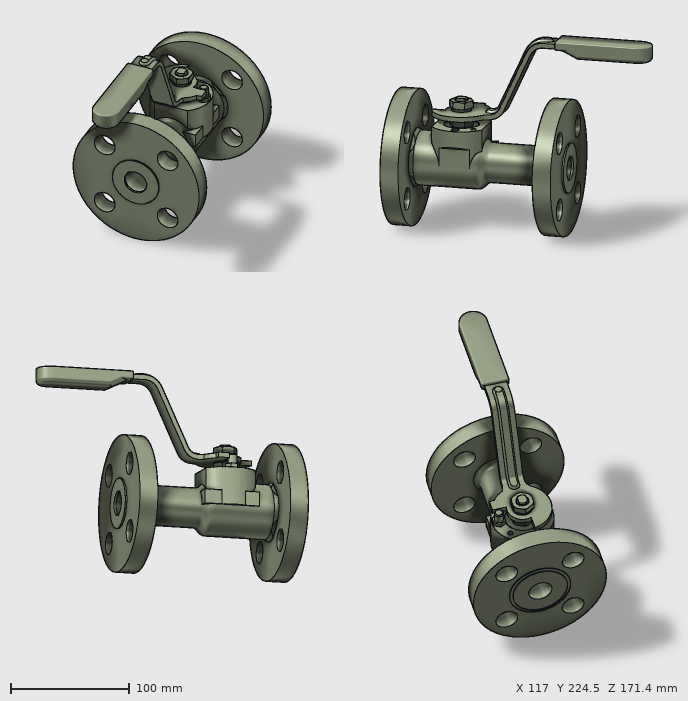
import cadquery as cq
import math


FLANGE_DIA = 117.0
FLANGE_THICK = 16.0
BOLT_HOLE_DIA = 19.0
BOLT_OFFSET = 29.2
REAR_FLANGE_FRONT = 39.7
REAR_FLANGE_BACK = REAR_FLANGE_FRONT + FLANGE_THICK
FRONT_FLANGE_BACK = -78.0
FRONT_FLANGE_FRONT = FRONT_FLANGE_BACK - FLANGE_THICK

BORE_DIA = 20.2
MOUTH_DIA = 20.6
MOUTH_DEPTH = 1.8
SPIGOT_PROJECTION = 1.3
BODY_DIA = 46.7
PIPE_DIA = 34.0
FRONT_SPIGOT_DIA = 42.9
REAR_SPIGOT_DIA = 47.8
REAR_RING_DIA = 53.6
REAR_RING_HEIGHT = 0.7
COLLAR_CONE_DIA = 50.5
BODY_BACK = 36.4
BODY_FRONT = -16.2
SHOULDER_OUTER_RADIUS = 6.7
SHOULDER_INNER_RADIUS = 5.5
FLARE_LENGTH = 5.8

BOSS_DIA = 53.6
BOSS_LENGTH = 44.0
BOSS_TOP = 32.0
RECESS_DIA = 30.0
RECESS_DEPTH = 1.1
SIDE_FLAT_X = -BODY_DIA / 2
SIDE_FLAT_TOP = 16.0
SIDE_FLAT_SLOPE_RISE = 2.0
PAD_OUTER_X = 24.7
PAD_TOP = 12.1
PAD_BACK = 23.0
PAD_FRONT = -25.8
STOP_RADIUS = 20.6
STOP_HOLE_DIA = 6.5
STOP_HOLE_DEPTH = 9.0
SMALL_HOLE_DIA = 4.5
SMALL_HOLE_DEPTH = 6.7
SMALL_HOLE_POINT = 1.3

STEM_DIA = 11.0
STEM_FLATS = 7.6
STEM_BOTTOM = 13.5
STEM_TOP = 55.2
STEM_CHAMFER = 1.0
NUT_FLATS = 18.0
NUT_CORNER_CUT = 1.0
COLLAR_DIA = 17.3
COLLAR_HEIGHT = 2.2
NUT_HEX_HEIGHT = 6.3
GLAND_RIM_DIA = 20.6
GLAND_RIM_HEIGHT = 0.7

PIN_HEX_FLATS = 10.3
PIN_HEX_HEIGHT = 3.5
PIN_TOP_DIA = 7.9
PIN_TOP = 44.2
PIN_CHAMFER = 1.0

LEVER_THICK = 4.3
LEVER_BOTTOM = 40.2
LEVER_TOP = LEVER_BOTTOM + LEVER_THICK
LEVER_HIGH_TOP = 110.5
LEVER_WIDTH = 19.5
LEVER_DISC_RADIUS = 25.1
LEVER_END_Y = -155.5
LOW_BEND_Y = -33.0
HIGH_BEND_Y = -63.5
LOW_BEND_RADIUS = 9.5
HIGH_BEND_RADIUS = 16.8
TAB_X = 25.1
NOTCH_X = -4.3
NOTCH_Y = -4.0
NOTCH_RADIUS = 13.5
TAB_CORNER_Y = -14.0
TAB_ARC_RADIUS = TAB_X - LEVER_WIDTH / 2
NECK_FILLET = 11.2
RIB_WIDTH = 9.6
RIB_HEIGHT = 2.2
RIB_TOP_WIDTH = 6.3
RIB_BACK = -21.3
RIB_FRONT = -81.0

GRIP_WIDTH = 24.2
GRIP_TOP = 112.9
GRIP_BACK = -84.5
GRIP_FRONT = -167.5
GRIP_THIN_BOTTOM = 105.5
GRIP_BOTTOM = 98.5
GRIP_SLOPE_START = -89.8
GRIP_SLOPE_END = -104.5
GRIP_TOP_FILLET = 1.5
GRIP_BOTTOM_FILLET = 4.0
GRIP_THIN_FILLET = 1.5
GRIP_BACK_FILLET = 1.8


def cylinder_y(dia, back, front):
    return cq.Workplane("XZ", origin=(0, back, 0)).circle(dia / 2).extrude(back - front)


def cylinder_z(dia, bottom, top, x=0, y=0):
    return cq.Workplane("XY", origin=(x, y, bottom)).circle(dia / 2).extrude(top - bottom)


def block(x0, x1, y0, y1, z0, z1):
    return cq.Workplane("XY").box(x1 - x0, y1 - y0, z1 - z0, centered=False).translate((x0, y0, z0))


def make_flange(back, front, bore_dia):
    holes = (
        cq.Workplane("XZ", origin=(0, back, 0))
        .rect(2 * BOLT_OFFSET, 2 * BOLT_OFFSET, forConstruction=True)
        .vertices()
        .circle(BOLT_HOLE_DIA / 2)
        .extrude(back - front)
    )
    ring = cylinder_y(FLANGE_DIA, back, front)
    return ring.cut(holes).cut(cylinder_y(bore_dia, back, front))


def make_rear_flange():
    flange = make_flange(REAR_FLANGE_BACK, REAR_FLANGE_FRONT, REAR_SPIGOT_DIA)
    ring_back = REAR_FLANGE_BACK + REAR_RING_HEIGHT
    ring = cylinder_y(REAR_RING_DIA, ring_back, REAR_FLANGE_BACK)
    return flange.union(ring.cut(cylinder_y(REAR_SPIGOT_DIA, ring_back, REAR_FLANGE_BACK)))


def body_core():
    """Turned body: rear spigot, thick barrel, rounded 45 degree shoulder, pipe and front spigot."""
    rear_end = REAR_FLANGE_BACK + SPIGOT_PROJECTION
    front_end = FRONT_FLANGE_FRONT - SPIGOT_PROJECTION
    spigot_r = REAR_SPIGOT_DIA / 2
    cone_r = COLLAR_CONE_DIA / 2
    barrel_r = BODY_DIA / 2
    pipe_r = PIPE_DIA / 2
    flare = FRONT_SPIGOT_DIA / 2 - pipe_r
    flare_radius = (flare**2 + FLARE_LENGTH**2) / (2 * flare)
    arc_cos = math.cos(math.pi / 4)
    cone_start_r = barrel_r - SHOULDER_OUTER_RADIUS * (1 - arc_cos)
    cone_start_y = BODY_FRONT - SHOULDER_OUTER_RADIUS * arc_cos
    cone_end_r = pipe_r + SHOULDER_INNER_RADIUS * (1 - arc_cos)
    cone_end_y = cone_start_y - (cone_start_r - cone_end_r)
    pipe_back = cone_end_y - SHOULDER_INNER_RADIUS * arc_cos
    return (
        cq.Workplane("XY")
        .moveTo(0, rear_end)
        .lineTo(spigot_r, rear_end)
        .lineTo(spigot_r, REAR_FLANGE_FRONT)
        .lineTo(cone_r, REAR_FLANGE_FRONT)
        .lineTo(barrel_r, BODY_BACK)
        .lineTo(barrel_r, BODY_FRONT)
        .radiusArc((cone_start_r, cone_start_y), SHOULDER_OUTER_RADIUS)
        .lineTo(cone_end_r, cone_end_y)
        .radiusArc((pipe_r, pipe_back), -SHOULDER_INNER_RADIUS)
        .lineTo(pipe_r, FRONT_FLANGE_BACK + FLARE_LENGTH)
        .radiusArc((pipe_r + flare, FRONT_FLANGE_BACK), -flare_radius)
        .lineTo(pipe_r + flare, front_end)
        .lineTo(0, front_end)
        .close()
        .revolve(360, (0, 0, 0), (0, 1, 0))
    )


def collar_flat_cutter():
    """Ring that trims the rear cone to four flats, turned 45 degrees and tangent to the barrel."""
    length = REAR_FLANGE_FRONT - BODY_BACK
    ring = cylinder_y(2 * COLLAR_CONE_DIA, REAR_FLANGE_FRONT, BODY_BACK)
    square = cq.Workplane("XY").box(BODY_DIA, 2 * length, BODY_DIA).rotate((0, 0, 0), (0, 1, 0), 45)
    return ring.cut(square.translate((0, REAR_FLANGE_FRONT - length / 2, 0)))


def make_boss():
    boss = cylinder_z(BOSS_DIA, 0, BOSS_TOP)
    boss = boss.intersect(block(-BOSS_DIA, BOSS_DIA, -BOSS_LENGTH / 2, BOSS_LENGTH / 2, 0, BOSS_TOP))
    side_cut = (
        cq.Workplane("XZ", origin=(0, BOSS_DIA, 0))
        .moveTo(SIDE_FLAT_X, 0)
        .lineTo(SIDE_FLAT_X, SIDE_FLAT_TOP)
        .lineTo(-BOSS_DIA / 2, SIDE_FLAT_TOP + SIDE_FLAT_SLOPE_RISE)
        .lineTo(-BOSS_DIA / 2, 0)
        .close()
        .extrude(2 * BOSS_DIA)
    )
    return boss.cut(side_cut)


def pointed_hole():
    """Small hole in the boss top with a conical drill point."""
    bottom = BOSS_TOP - SMALL_HOLE_DEPTH
    return (
        cq.Workplane("XZ")
        .moveTo(0, BOSS_TOP)
        .lineTo(SMALL_HOLE_DIA / 2, BOSS_TOP)
        .lineTo(SMALL_HOLE_DIA / 2, bottom)
        .lineTo(0, bottom - SMALL_HOLE_POINT)
        .close()
        .revolve(360, (0, 0, 0), (0, 1, 0))
    )


def make_body():
    rear_end = REAR_FLANGE_BACK + SPIGOT_PROJECTION
    front_end = FRONT_FLANGE_FRONT - SPIGOT_PROJECTION
    body = body_core().cut(collar_flat_cutter()).union(make_boss())
    body = body.union(block(0, PAD_OUTER_X, PAD_FRONT, PAD_BACK, 0, PAD_TOP))
    body = body.cut(cylinder_y(BORE_DIA, rear_end, front_end))
    body = body.cut(cylinder_y(MOUTH_DIA, front_end + MOUTH_DEPTH, front_end))
    body = body.cut(cylinder_z(RECESS_DIA, BOSS_TOP - RECESS_DEPTH, BOSS_TOP))
    body = body.cut(cylinder_z(STEM_DIA, STEM_BOTTOM, BOSS_TOP))
    for side in (-1, 1):
        stop = cylinder_z(STOP_HOLE_DIA, BOSS_TOP - STOP_HOLE_DEPTH, BOSS_TOP, side * STOP_RADIUS)
        body = body.cut(stop)
        d = side * STOP_RADIUS * math.sqrt(0.5)
        body = body.cut(pointed_hole().translate((d, d, 0)))
    return body


def flatted_stem():
    """Stem end with two flats, from the lever underside to the top."""
    half = STEM_FLATS / 2
    flats = block(-half, half, -STEM_DIA, STEM_DIA, LEVER_BOTTOM, STEM_TOP)
    stem = cylinder_z(STEM_DIA, LEVER_BOTTOM, STEM_TOP)
    return stem.faces(">Z").chamfer(STEM_CHAMFER).intersect(flats)


def make_stem():
    return cylinder_z(STEM_DIA, STEM_BOTTOM, LEVER_BOTTOM).union(flatted_stem())


def hex_prism(flats, bottom, top, x=0, y=0):
    """Hexagonal prism with corners on the +Y and -Y sides."""
    corner_dia = flats / math.cos(math.pi / 6)
    return (
        cq.Workplane("XY", origin=(x, y, bottom))
        .transformed(rotate=(0, 0, 90))
        .polygon(6, corner_dia)
        .extrude(top - bottom)
    )


def chamfered_hex(flats, bottom, top):
    corner_dia = flats / math.cos(math.pi / 6)
    envelope = cylinder_z(corner_dia, bottom, top).faces("<Z or >Z").chamfer(NUT_CORNER_CUT)
    return hex_prism(flats, bottom, top).intersect(envelope)


def make_gland_nut():
    base = BOSS_TOP - RECESS_DEPTH
    rim_bottom = LEVER_BOTTOM - GLAND_RIM_HEIGHT
    nut = chamfered_hex(NUT_FLATS, base, rim_bottom)
    nut = nut.union(cylinder_z(GLAND_RIM_DIA, rim_bottom, LEVER_BOTTOM))
    return nut.cut(cylinder_z(STEM_DIA, base, LEVER_BOTTOM))


def make_lever_nut():
    hex_bottom = LEVER_TOP + COLLAR_HEIGHT
    hex_top = hex_bottom + NUT_HEX_HEIGHT
    nut = chamfered_hex(NUT_FLATS, hex_bottom, hex_top)
    nut = nut.union(cylinder_z(COLLAR_DIA, LEVER_TOP, hex_bottom))
    return nut.cut(cylinder_z(STEM_DIA, LEVER_TOP, hex_top))


def make_stop_pin():
    shank = cylinder_z(STOP_HOLE_DIA, BOSS_TOP - STOP_HOLE_DEPTH, BOSS_TOP, STOP_RADIUS)
    head = hex_prism(PIN_HEX_FLATS, BOSS_TOP, BOSS_TOP + PIN_HEX_HEIGHT, STOP_RADIUS)
    post = cylinder_z(PIN_TOP_DIA, BOSS_TOP, PIN_TOP, STOP_RADIUS).faces(">Z").chamfer(PIN_CHAMFER)
    return shank.union(head).union(post)


def crank_path(back, front):
    """Top centreline of the lever: level, up the slope, then level again."""
    rise = LEVER_HIGH_TOP - LEVER_TOP
    angle = math.atan2(rise, LOW_BEND_Y - HIGH_BEND_Y)
    low_tangent = LOW_BEND_RADIUS * math.tan(angle / 2)
    high_tangent = HIGH_BEND_RADIUS * math.tan(angle / 2)
    along = math.cos(angle)
    up = math.sin(angle)
    return (
        cq.Workplane("YZ")
        .moveTo(back, LEVER_TOP)
        .lineTo(LOW_BEND_Y + low_tangent, LEVER_TOP)
        .tangentArcPoint(
            (LOW_BEND_Y - low_tangent * along, LEVER_TOP + low_tangent * up), relative=False
        )
        .lineTo(HIGH_BEND_Y + high_tangent * along, LEVER_HIGH_TOP - high_tangent * up)
        .tangentArcPoint((HIGH_BEND_Y - high_tangent, LEVER_HIGH_TOP), relative=False)
        .lineTo(front, LEVER_HIGH_TOP)
    )


def lever_outline():
    """Plan of the lever: notched disc with stop tab, then the straight handle strip."""
    half = LEVER_WIDTH / 2
    reach = 2 * LEVER_DISC_RADIUS
    height = LEVER_HIGH_TOP - LEVER_BOTTOM
    fillet_x = -half - NECK_FILLET
    fillet_y = -math.sqrt((LEVER_DISC_RADIUS + NECK_FILLET) ** 2 - fillet_x**2)
    touch = LEVER_DISC_RADIUS / (LEVER_DISC_RADIUS + NECK_FILLET)
    neck = (
        cq.Workplane("XY", origin=(0, 0, LEVER_BOTTOM))
        .moveTo(fillet_x * touch, fillet_y * touch)
        .radiusArc((-half, fillet_y), NECK_FILLET)
        .lineTo(-half, LEVER_END_Y)
        .lineTo(half, LEVER_END_Y)
        .lineTo(half, TAB_CORNER_Y - TAB_ARC_RADIUS)
        .radiusArc((TAB_X, TAB_CORNER_Y), TAB_ARC_RADIUS)
        .lineTo(TAB_X, NOTCH_Y)
        .lineTo(0, NOTCH_Y)
        .close()
        .extrude(height)
    )
    disc = cylinder_z(2 * LEVER_DISC_RADIUS, LEVER_BOTTOM, LEVER_HIGH_TOP)
    notch = block(NOTCH_X, reach, NOTCH_Y, reach, LEVER_BOTTOM, LEVER_HIGH_TOP)
    notch = notch.cut(cylinder_z(2 * NOTCH_RADIUS, LEVER_BOTTOM, LEVER_HIGH_TOP))
    return disc.union(neck).cut(notch)


def lever_plate():
    """Cranked plate trimmed to the lever outline."""
    sheet = (
        cq.Workplane("XZ", origin=(0, LEVER_DISC_RADIUS, LEVER_TOP - LEVER_THICK / 2))
        .rect(2 * LEVER_DISC_RADIUS, LEVER_THICK)
        .sweep(crank_path(LEVER_DISC_RADIUS, LEVER_END_Y))
    )
    return sheet.intersect(lever_outline())


def rib_end(y, base):
    """Half-round end of the rib, a frustum standing on the lever."""
    return (
        cq.Workplane("XY", origin=(0, y, base))
        .circle(RIB_WIDTH / 2)
        .workplane(offset=RIB_HEIGHT)
        .circle(RIB_TOP_WIDTH / 2)
        .loft()
    )


def lever_rib():
    """Raised rib of trapezoid section along the cranked part of the lever."""
    back = RIB_BACK - RIB_WIDTH / 2
    front = RIB_FRONT + RIB_WIDTH / 2
    rib = (
        cq.Workplane("XZ", origin=(0, back, LEVER_TOP))
        .moveTo(-RIB_WIDTH / 2, 0)
        .lineTo(RIB_WIDTH / 2, 0)
        .lineTo(RIB_TOP_WIDTH / 2, RIB_HEIGHT)
        .lineTo(-RIB_TOP_WIDTH / 2, RIB_HEIGHT)
        .close()
        .sweep(crank_path(back, front))
    )
    return rib.union(rib_end(back, LEVER_TOP)).union(rib_end(front, LEVER_HIGH_TOP))


def make_lever():
    lever = lever_plate().union(lever_rib())
    return lever.cut(flatted_stem())


def round_underside(grip, front, back, radius):
    """Fillet the outer lower edges between two stations along the grip."""
    chosen = []
    for edge in grip.edges().vals():
        box = edge.BoundingBox()
        is_low = box.zmax < (GRIP_THIN_BOTTOM + GRIP_TOP) / 2
        runs_across = box.ylen < GRIP_BACK_FILLET / 2
        if is_low and not runs_across and front < edge.Center().y < back:
            chosen.append(edge)
    return grip.newObject(chosen).fillet(radius)


def make_grip():
    half = GRIP_WIDTH / 2
    plan = (
        cq.Workplane("XY", origin=(0, 0, GRIP_BOTTOM))
        .moveTo(-half, GRIP_BACK)
        .lineTo(-half, GRIP_FRONT + half)
        .threePointArc((0, GRIP_FRONT), (half, GRIP_FRONT + half))
        .lineTo(half, GRIP_BACK)
        .close()
        .extrude(GRIP_TOP - GRIP_BOTTOM)
    )
    relief = (
        cq.Workplane("YZ", origin=(-half, 0, 0))
        .moveTo(GRIP_BACK, GRIP_BOTTOM)
        .lineTo(GRIP_BACK, GRIP_THIN_BOTTOM)
        .lineTo(GRIP_SLOPE_START, GRIP_THIN_BOTTOM)
        .lineTo(GRIP_SLOPE_END, GRIP_BOTTOM)
        .close()
        .extrude(GRIP_WIDTH)
    )
    grip = plan.cut(relief).edges("|Z and >Y").fillet(GRIP_BACK_FILLET)
    grip = round_underside(grip, GRIP_FRONT, GRIP_SLOPE_START, GRIP_BOTTOM_FILLET)
    grip = round_underside(grip, GRIP_SLOPE_START, GRIP_BACK, GRIP_THIN_FILLET)
    grip = grip.faces(">Z").edges().fillet(GRIP_TOP_FILLET)
    return grip.cut(lever_plate())


body = make_body()
rear_flange = make_rear_flange()
front_flange = make_flange(FRONT_FLANGE_BACK, FRONT_FLANGE_FRONT, FRONT_SPIGOT_DIA)
stem = make_stem()
gland_nut = make_gland_nut()
lever_nut = make_lever_nut()
stop_pin = make_stop_pin()
lever = make_lever()
grip = make_grip()

result = cq.Compound.makeCompound([
    body.val(),
    rear_flange.val(),
    front_flange.val(),
    stem.val(),
    gland_nut.val(),
    lever_nut.val(),
    stop_pin.val(),
    lever.val(),
    grip.val(),
])